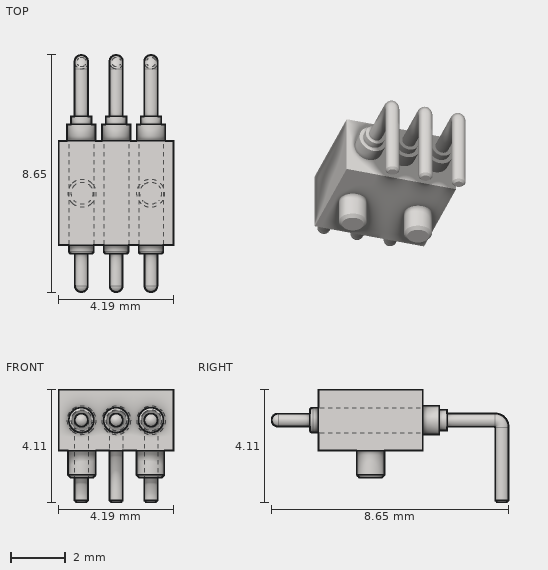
import cadquery as cq
import math


pin_count = 3
pin_pitch = 1.27
pin_positions = [(i - (pin_count - 1) / 2) * pin_pitch for i in range(pin_count)]

housing_side_margin = 0.19
housing_width = pin_count * pin_pitch + 2 * housing_side_margin
housing_depth = 3.81
housing_height = 2.22
front_y = -housing_depth / 2
back_y = housing_depth / 2

peg_diameter = 1.02
peg_length = 1.0
peg_chamfer = 0.11
peg_spacing = 2.5

barrel_diameter = 0.91
collar_length = 0.315
collar_fillet = 0.1

plunger_diameter = 0.48
plunger_length = 1.395

flange_diameter = 1.05
flange_length = 0.6
step_diameter = 0.76
step_length = 0.285

tail_diameter = 0.5
tail_reach = 3.13
tail_drop = 1.89
tail_chamfer = 0.08
bend_inner_radius = 0.005

collar_face_y = front_y - collar_length
flange_end_y = back_y + flange_length
step_end_y = flange_end_y + step_length
tail_axis_y = back_y + tail_reach - tail_diameter / 2
bend_radius = tail_diameter / 2 + bend_inner_radius
bend_start_y = tail_axis_y - bend_radius
tail_bottom_z = -housing_height / 2 - tail_drop

diagonal = math.sqrt(0.5)


def make_housing():
    """Block with two chamfered locating pegs and a straight bore for each pin."""
    block = cq.Workplane("XY").box(housing_width, housing_depth, housing_height)
    pegs = (
        cq.Workplane("XY", origin=(0, 0, -housing_height / 2))
        .pushPoints([(-peg_spacing / 2, 0), (peg_spacing / 2, 0)])
        .circle(peg_diameter / 2)
        .extrude(-peg_length)
        .faces("<Z")
        .chamfer(peg_chamfer)
    )
    bores = (
        cq.Workplane("XZ", origin=(0, front_y, 0))
        .pushPoints([(x, 0) for x in pin_positions])
        .circle(barrel_diameter / 2)
        .extrude(-housing_depth)
    )
    return block.union(pegs).cut(bores)


def make_straight_part(x):
    """Plunger, barrel, flange and step, turned about the pin axis."""
    plunger_radius = plunger_diameter / 2
    barrel_radius = barrel_diameter / 2
    tip_y = collar_face_y - plunger_length
    dome_base_y = tip_y + plunger_radius
    dome_middle = (plunger_radius * diagonal, dome_base_y - plunger_radius * diagonal)
    fillet_x = barrel_radius - collar_fillet
    fillet_y = collar_face_y + collar_fillet
    fillet_middle = (fillet_x + collar_fillet * diagonal, fillet_y - collar_fillet * diagonal)
    return (
        cq.Workplane("XY")
        .moveTo(0, tip_y)
        .threePointArc(dome_middle, (plunger_radius, dome_base_y))
        .lineTo(plunger_radius, collar_face_y)
        .lineTo(fillet_x, collar_face_y)
        .threePointArc(fillet_middle, (barrel_radius, fillet_y))
        .lineTo(barrel_radius, back_y)
        .lineTo(flange_diameter / 2, back_y)
        .lineTo(flange_diameter / 2, flange_end_y)
        .lineTo(step_diameter / 2, flange_end_y)
        .lineTo(step_diameter / 2, step_end_y)
        .lineTo(0, step_end_y)
        .close()
        .revolve(360, (0, 0, 0), (0, 1, 0))
        .translate((x, 0, 0))
    )


def make_tail(x):
    """Round wire running back from the step, bent down, with a chamfered end."""
    bend_middle = (
        bend_start_y + bend_radius * diagonal,
        -bend_radius * (1 - diagonal),
    )
    path = (
        cq.Workplane("YZ", origin=(x, 0, 0))
        .moveTo(step_end_y, 0)
        .lineTo(bend_start_y, 0)
        .threePointArc(bend_middle, (tail_axis_y, -bend_radius))
        .lineTo(tail_axis_y, tail_bottom_z)
    )
    section = cq.Workplane("XZ", origin=(x, step_end_y, 0)).circle(tail_diameter / 2)
    return section.sweep(path).faces("<Z").chamfer(tail_chamfer)


def make_pin(x):
    """Complete pin as one solid."""
    return make_straight_part(x).union(make_tail(x))


housing = make_housing()
pins = [make_pin(x) for x in pin_positions]

result = cq.Compound.makeCompound([housing.val(), *[pin.val() for pin in pins]])